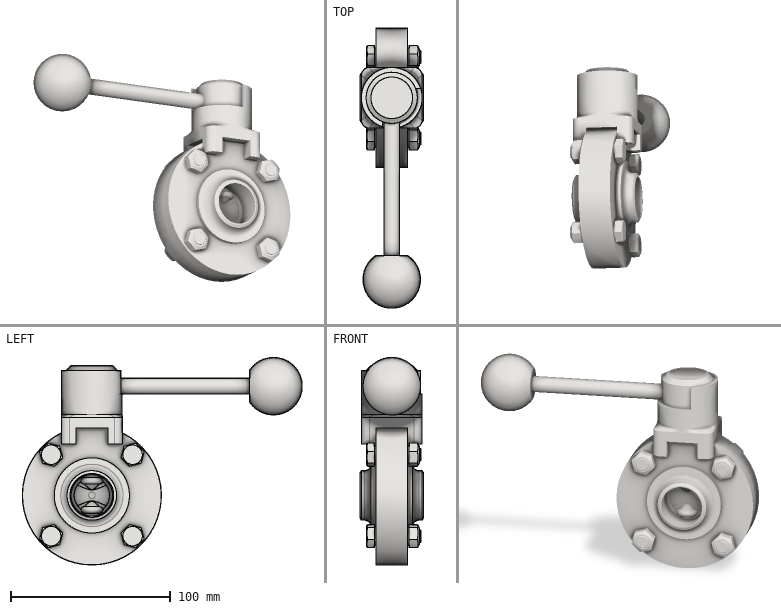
import cadquery as cq
import math


flange_diameter = 87.0
flange_half_width = 10.0

pipe_bevel_angle = math.radians(30)
pipe_half_length = 20.0
pipe_radius = 15.5
pipe_land_radius = 13.7
bore_radius = 13.0
collar_radius = 23.5
collar_end = 13.0
neck_fillet = 4.0
bevel_length = (pipe_radius - pipe_land_radius) * math.tan(pipe_bevel_angle)

seat_radius = 11.05
seat_half_width = 2.3
seat_taper_end = 3.3
disc_center_half_thickness = 2.2
disc_rim_half_thickness = 1.9
disc_flat_radius = 4.13 / 2
hub_radius = 7.3
hub_flare_radius = 10.0
hub_tip_z = 3.2
hub_flare_z = 6.8
hub_neck_radius = 5.3
hub_bulge_bottom = 7.0
hub_bulge_top = 11.3
wall_overlap = 0.5

corner_cone_angle = math.radians(30)
hex_turn = 30
bolt_circle_radius = 36.0
bolt_count = 4
first_bolt_angle = 45
hex_across_flats = 13.0
hex_across_corners = hex_across_flats / math.cos(math.radians(30))
washer_diameter = 11.4
washer_thickness = 0.8
head_end = 15.8
head_face_diameter = 12.2
nut_end = 17.4
nut_face_diameter = 9.8
bolt_diameter = 8.0
bolt_tip_diameter = 7.32
bolt_end = 18.2

housing_width = 38.0
housing_corner_radius = 5.0
housing_bottom = 32.0
window_top = 42.0
window_width = 20.0
housing_top = 48.6
tower_bottom = 50.6
tower_radius = 19.0
tower_top = 78.0
cap_radius = 16.0
cap_chamfer = 3.0
cap_top = 81.2
lever_slot_width = 11.4

lever_z = 68.3
lever_diameter = 10.0
lever_slot_bottom = lever_z - lever_diameter / 2
knob_radius = 18.0
knob_y = -113.57
knob_flat_radius = 10.0
knob_flat_offset = math.sqrt(knob_radius**2 - knob_flat_radius**2)


def x_cylinder(radius, x_start, x_end):
    """Cylinder along the pipe axis."""
    return cq.Workplane("YZ").workplane(offset=x_start).circle(radius).extrude(x_end - x_start)


def pipe_stub():
    """Stub on the +X side: collar, concave neck and bevelled pipe end."""
    neck_end = collar_end + neck_fillet
    neck_mid = neck_fillet * (1 - math.sqrt(0.5))
    return (
        cq.Workplane("XY")
        .moveTo(0, 0)
        .lineTo(0, collar_radius)
        .lineTo(collar_end, collar_radius)
        .lineTo(collar_end, pipe_radius + neck_fillet)
        .threePointArc((collar_end + neck_mid, pipe_radius + neck_mid), (neck_end, pipe_radius))
        .lineTo(pipe_half_length - bevel_length, pipe_radius)
        .lineTo(pipe_half_length, pipe_land_radius)
        .lineTo(pipe_half_length, 0)
        .close()
        .revolve(360, (0, 0, 0), (1, 0, 0))
    )


def bore():
    """Through bore, narrowed at the middle by the seat."""
    return (
        cq.Workplane("XY")
        .moveTo(-pipe_half_length, 0)
        .lineTo(-pipe_half_length, bore_radius)
        .lineTo(-seat_taper_end, bore_radius)
        .lineTo(-seat_half_width, seat_radius)
        .lineTo(seat_half_width, seat_radius)
        .lineTo(seat_taper_end, bore_radius)
        .lineTo(pipe_half_length, bore_radius)
        .lineTo(pipe_half_length, 0)
        .close()
        .revolve(360, (0, 0, 0), (1, 0, 0))
    )


def butterfly_disc():
    """Closed disc with shallow conical faces and a small flat in the centre."""
    return (
        cq.Workplane("XY")
        .moveTo(-disc_center_half_thickness, 0)
        .lineTo(-disc_center_half_thickness, disc_flat_radius)
        .lineTo(-disc_rim_half_thickness, bore_radius)
        .lineTo(disc_rim_half_thickness, bore_radius)
        .lineTo(disc_center_half_thickness, disc_flat_radius)
        .lineTo(disc_center_half_thickness, 0)
        .close()
        .revolve(360, (0, 0, 0), (1, 0, 0))
    )


def turned_about_spindle(outline):
    """Revolve an outline of radius and height about the spindle axis."""
    return outline.close().revolve(360, (0, 0, 0), (0, 1, 0))


def spindle_hub():
    """Upper hub of the butterfly disc: a cone under a round bulge, flared at the disc face."""
    outer_z = bore_radius + wall_overlap
    cone_start = cq.Workplane("XZ").moveTo(0, hub_tip_z).lineTo(disc_rim_half_thickness, hub_tip_z)
    bulge = turned_about_spindle(
        cone_start
        .lineTo(hub_neck_radius, hub_bulge_bottom)
        .threePointArc((hub_radius, (hub_bulge_bottom + hub_bulge_top) / 2), (hub_neck_radius, hub_bulge_top))
        .lineTo(hub_neck_radius, outer_z)
        .lineTo(0, outer_z)
    )
    flare = turned_about_spindle(
        cone_start
        .lineTo(hub_flare_radius, hub_flare_z)
        .lineTo(hub_flare_radius, outer_z)
        .lineTo(0, outer_z)
    )
    flare_slab = cq.Workplane("XY").box(2 * seat_half_width, 2 * bore_radius, 4 * bore_radius)
    wall = x_cylinder(outer_z, -pipe_half_length, pipe_half_length)
    return bulge.union(flare.intersect(flare_slab)).intersect(wall)


def valve_body():
    stub = pipe_stub()
    body = x_cylinder(flange_diameter / 2, -flange_half_width, flange_half_width)
    body = body.union(stub).union(stub.mirror("YZ")).cut(bore())
    hub = spindle_hub()
    return body.union(butterfly_disc()).union(hub).union(hub.mirror("XY"))


def hexagon(outer_x, face_diameter):
    """Hexagon on the +X side of the flange, its outer corners turned down by a 30 degree cone."""
    inner_x = flange_half_width + washer_thickness
    corner_radius = hex_across_corners / 2
    face_radius = face_diameter / 2
    cone_length = (corner_radius - face_radius) * math.tan(corner_cone_angle)
    prism = (
        cq.Workplane("YZ")
        .workplane(offset=inner_x)
        .polygon(6, hex_across_corners)
        .extrude(outer_x - inner_x)
        .rotate((0, 0, 0), (1, 0, 0), hex_turn)
    )
    envelope = (
        cq.Workplane("XY")
        .moveTo(inner_x, 0)
        .lineTo(inner_x, corner_radius)
        .lineTo(outer_x - cone_length, corner_radius)
        .lineTo(outer_x, face_radius)
        .lineTo(outer_x, 0)
        .close()
        .revolve(360, (0, 0, 0), (1, 0, 0))
    )
    return prism.intersect(envelope)


def bolt():
    """Bolt along X with its head at -X and its nut at +X, one flat facing outwards along Y."""
    washer_face = flange_half_width + washer_thickness
    tip_chamfer = (bolt_diameter - bolt_tip_diameter) / 2
    washers = x_cylinder(washer_diameter / 2, -washer_face, washer_face)
    shank = x_cylinder(bolt_diameter / 2, 0, bolt_end).faces(">X").chamfer(tip_chamfer)
    head = hexagon(head_end, head_face_diameter).mirror("YZ")
    nut = hexagon(nut_end, nut_face_diameter)
    return washers.union(shank).union(head).union(nut)


def housing():
    """Square base on four corner posts, blending into the round tower."""
    base = (
        cq.Workplane("XY")
        .workplane(offset=housing_bottom)
        .rect(housing_width, housing_width)
        .extrude(housing_top - housing_bottom)
        .edges("|Z")
        .fillet(housing_corner_radius)
    )
    window_height = window_top - housing_bottom
    for length, width in ((housing_width, window_width), (window_width, housing_width)):
        window = (
            cq.Workplane("XY")
            .workplane(offset=housing_bottom)
            .rect(length, width)
            .extrude(window_height)
        )
        base = base.cut(window)
    square = cq.Sketch().rect(housing_width, housing_width).vertices().fillet(housing_corner_radius)
    blend_height = cq.Location(cq.Vector(0, 0, tower_bottom - housing_top))
    circle = cq.Sketch().circle(tower_radius).moved(blend_height)
    blend = cq.Workplane("XY").workplane(offset=housing_top).placeSketch(square, circle).loft()
    return base.union(blend)


def tower():
    """Round tower with a quarter-turn lever slot around a chamfered cap."""
    shell = (
        cq.Workplane("XY")
        .workplane(offset=tower_bottom)
        .circle(tower_radius)
        .extrude(tower_top - tower_bottom)
    )
    half_slot = lever_slot_width / 2
    slot = (
        cq.Workplane("XY")
        .workplane(offset=lever_slot_bottom)
        .moveTo(-half_slot, half_slot)
        .lineTo(-half_slot, -tower_radius)
        .lineTo(tower_radius, -tower_radius)
        .lineTo(tower_radius, half_slot)
        .close()
        .extrude(tower_top - lever_slot_bottom)
    )
    cap = (
        cq.Workplane("XY")
        .workplane(offset=tower_bottom)
        .circle(cap_radius)
        .extrude(cap_top - tower_bottom)
        .faces(">Z")
        .chamfer(cap_chamfer)
    )
    return shell.cut(slot).union(cap)


def lever():
    """Round rod ending in a ball knob with a flat where the rod enters."""
    rod = (
        cq.Workplane("XZ")
        .center(0, lever_z)
        .circle(lever_diameter / 2)
        .extrude(-knob_y)
    )
    flat_cutter = (
        cq.Workplane("XZ")
        .workplane(offset=-knob_y - knob_flat_offset)
        .center(0, lever_z)
        .circle(knob_radius)
        .extrude(-knob_radius)
    )
    knob = cq.Workplane("XY").sphere(knob_radius).translate((0, knob_y, lever_z)).cut(flat_cutter)
    return rod.union(knob)


result = valve_body().union(housing()).union(tower()).union(lever())
for index in range(bolt_count):
    placed_bolt = bolt().translate((0, bolt_circle_radius, 0))
    angle = first_bolt_angle + index * 360 / bolt_count
    result = result.union(placed_bolt.rotate((0, 0, 0), (1, 0, 0), angle))